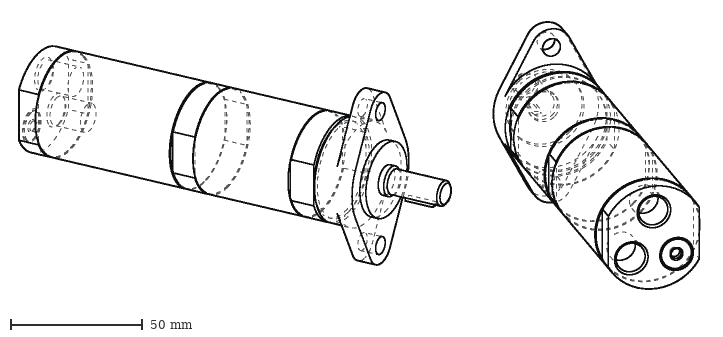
import cadquery as cq
import math

TOTAL_LENGTH = 178.5
CAP_END = 8.7
LONG_TUBE_END = 68.9
COUPLING_END = 78.7
SHORT_TUBE_END = 121.2
NECK_START = 131.5
NECK_END = 133.0
FLANGE_START = 141.5
FLANGE_THICKNESS = 8.0
PILOT_LENGTH = 2.7
COLLAR_LENGTH = 3.4

BODY_DIAMETER = 41.5
NECK_DIAMETER = 37.8
EDGE_CHAMFER = 0.4
CAP_FLATS_WIDTH = 35.9
RING_FLATS_WIDTH = 37.8

FLANGE_HEIGHT = 70.0
LOBE_RADIUS = 8.0
BOLT_HOLE_DIAMETER = 7.0
BOLT_HOLE_SPACING = 55.0

PILOT_DIAMETER = 30.0
COLLAR_DIAMETER = 12.0
SHAFT_DIAMETER = 10.0
SHAFT_CHAMFER = 0.9
KEY_START = 161.2
KEY_LENGTH = 12.5
KEY_WIDTH = 3.0
KEY_CORNER_RADIUS = 0.5
KEY_PROTRUSION = 1.0

UPPER_PORT_HEIGHT = 10.5
LOWER_PORT_DROP = 7.5
LOWER_PORT_OFFSET = 9.0
PORT_DIAMETER = 11.5
PORT_MOUTH_DIAMETER = 13.2
PORT_DEPTH = 14.3
PLUG_DIAMETER = 12.0
SOCKET_DIAMETER = 4.0
SOCKET_MOUTH_DIAMETER = 5.0
SOCKET_DEPTH = 2.7
DRILL_POINT_ANGLE = 118.0

body_radius = BODY_DIAMETER / 2
flange_end = FLANGE_START + FLANGE_THICKNESS
pilot_end = flange_end + PILOT_LENGTH
collar_end = pilot_end + COLLAR_LENGTH
lobe_center = FLANGE_HEIGHT / 2 - LOBE_RADIUS


def cylinder(start, end, diameter):
    """Solid cylinder on the X axis between two stations."""
    return cq.Workplane("YZ", origin=(start, 0, 0)).circle(diameter / 2).extrude(end - start)


def cut_flats(ring, flats_width):
    """Trim a body-diameter ring to two flats facing -Y and +Y."""
    between_flats = cq.Workplane("XY").box(2 * TOTAL_LENGTH, flats_width, BODY_DIAMETER)
    return ring.intersect(between_flats)


def body_ring(start, end, chamfered_edges=None):
    """Body-diameter section; the rims of the selected end faces are lightly broken."""
    ring = cylinder(start, end, BODY_DIAMETER)
    if chamfered_edges:
        ring = ring.faces(chamfered_edges).edges().chamfer(EDGE_CHAMFER)
    return ring


def flange():
    """Two-lobed plate whose straight sides are tangent to the body and the lobes."""
    slope_sin = (body_radius - LOBE_RADIUS) / lobe_center
    slope_cos = math.sqrt(1 - slope_sin**2)
    body_y = body_radius * slope_cos
    body_z = body_radius * slope_sin
    lobe_y = LOBE_RADIUS * slope_cos
    lobe_z = lobe_center + LOBE_RADIUS * slope_sin
    tip = FLANGE_HEIGHT / 2
    return (
        cq.Workplane("YZ", origin=(FLANGE_START, 0, 0))
        .moveTo(body_y, body_z)
        .lineTo(lobe_y, lobe_z)
        .threePointArc((0, tip), (-lobe_y, lobe_z))
        .lineTo(-body_y, body_z)
        .threePointArc((-body_radius, 0), (-body_y, -body_z))
        .lineTo(-lobe_y, -lobe_z)
        .threePointArc((0, -tip), (lobe_y, -lobe_z))
        .lineTo(body_y, -body_z)
        .threePointArc((body_radius, 0), (body_y, body_z))
        .close()
        .extrude(FLANGE_THICKNESS)
        .faces(">X")
        .workplane(origin=(0, 0, 0))
        .pushPoints([(0, BOLT_HOLE_SPACING / 2), (0, -BOLT_HOLE_SPACING / 2)])
        .hole(BOLT_HOLE_DIAMETER)
    )


def shaft():
    """Pilot disc, chamfered collar, drive shaft and its round-cornered key on the -Z side."""
    collar_chamfer = (COLLAR_DIAMETER - SHAFT_DIAMETER) / 2
    pilot = cylinder(flange_end, pilot_end, PILOT_DIAMETER)
    collar = cylinder(pilot_end, collar_end, COLLAR_DIAMETER).faces(">X").edges().chamfer(collar_chamfer)
    rod = cylinder(pilot_end, TOTAL_LENGTH, SHAFT_DIAMETER).faces(">X").edges().chamfer(SHAFT_CHAMFER)
    key_reach = SHAFT_DIAMETER / 2 + KEY_PROTRUSION
    key = cq.Workplane("XY").box(KEY_LENGTH, KEY_WIDTH, key_reach, centered=(False, True, False))
    key = key.edges("|Z").fillet(KEY_CORNER_RADIUS).translate((KEY_START, 0, -key_reach))
    return pilot.union(collar).union(rod).union(key)


def drilling(profile, y, z):
    """Revolve (depth, radius) points into a cutter entering the rear face at (y, z)."""
    return cq.Workplane("XY").polyline(profile).close().revolve(360, (0, 0), (1, 0)).translate((0, y, z))


def open_port(y, z):
    """Flat-bottomed bore with a chamfered mouth."""
    bore = PORT_DIAMETER / 2
    mouth = PORT_MOUTH_DIAMETER / 2
    return drilling([(0, 0), (0, mouth), (mouth - bore, bore), (PORT_DEPTH, bore), (PORT_DEPTH, 0)], y, z)


def plugged_port(y, z):
    """Port closed by a flush plug: a V-shaped ring round it and a drilled socket in it."""
    mouth = PORT_MOUTH_DIAMETER / 2
    plug = PLUG_DIAMETER / 2
    ring = drilling([(0, plug), (0, mouth), (mouth - plug, plug)], y, z)
    radius = SOCKET_DIAMETER / 2
    socket_mouth = SOCKET_MOUTH_DIAMETER / 2
    point_depth = SOCKET_DEPTH + radius / math.tan(math.radians(DRILL_POINT_ANGLE / 2))
    socket_profile = [
        (0, 0),
        (0, socket_mouth),
        (socket_mouth - radius, radius),
        (SOCKET_DEPTH, radius),
        (point_depth, 0),
    ]
    return ring.union(drilling(socket_profile, y, z))


body_sections = [
    body_ring(CAP_END, LONG_TUBE_END, "<X or >X"),
    cut_flats(body_ring(LONG_TUBE_END, COUPLING_END), RING_FLATS_WIDTH),
    body_ring(COUPLING_END, SHORT_TUBE_END, "<X"),
    cut_flats(body_ring(SHORT_TUBE_END, NECK_START, "<X"), RING_FLATS_WIDTH),
    cylinder(NECK_START, NECK_END, NECK_DIAMETER),
    body_ring(NECK_END, flange_end),
]

result = cut_flats(body_ring(0, CAP_END), CAP_FLATS_WIDTH)
for section in body_sections:
    result = result.union(section)
result = result.union(flange()).union(shaft())

result = result.cut(open_port(0, UPPER_PORT_HEIGHT))
result = result.cut(open_port(LOWER_PORT_OFFSET, -LOWER_PORT_DROP))
result = result.cut(plugged_port(-LOWER_PORT_OFFSET, -LOWER_PORT_DROP))